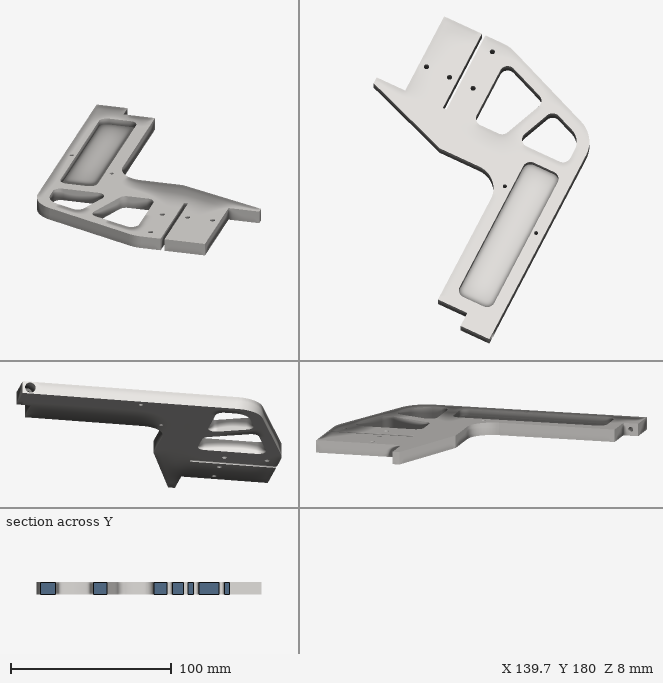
import cadquery as cq
import math

length_x = 139.7
length_y = 180.0
thickness = 8.0
wall = 8.0

arm_width = 40.3
tab_width = 20.0
tab_length = 9.5
arm_fillet = 16.0

shoulder_y = 80.0
shoulder_end_x = 83.5
underside_y = 54.9
tip_height = 4.3
foot_right_x = 119.9
slot_left_x = 91.3
slot_width = 2.5

slope_start_y = 30.2
slope_end_x = 74.5
slope = slope_start_y / slope_end_x
outer_fillet = 20.0

rib_left_x = 36.7
rib_left_y = 38.9
window_right_x = 72.7
window_fillet = 5.0
heel_fillet = outer_fillet - wall

pocket_width = 24.0
pocket_bottom_y = 62.6
pocket_top_y = 162.0
pocket_depth = thickness / 2
pocket_fillet = 5.0

pin_diameter = 2.5
pin_points = [(5.0, 103.9), (36.2, 84.6)]
screw_diameter = 3.2
screw_y = 35.0
screw_left_x = 82.6
screw_points = [(screw_left_x, 8.0), (screw_left_x, screw_y), (99.0, screw_y), (115.0, screw_y)]
cross_diameter = 3.2
cross_bore_diameter = 6.7
cross_bore_depth = tab_width / 2
cross_inset = 4.9


def prism(points):
    return cq.Workplane("XY").polyline(points).close().extrude(thickness)


def round_corner(body, point, radius):
    """Fillet the vertical edge that stands at the given point."""
    x, y = point
    reach = 0.2
    box = cq.selectors.BoxSelector(
        (x - reach, y - reach, -reach), (x + reach, y + reach, thickness + reach), boundingbox=False
    )
    return body.edges("|Z").edges(box).fillet(radius)


def make_plate():
    heel = (0, slope_start_y)
    toe = (slope_end_x, 0)
    armpit = (arm_width, shoulder_y)
    plate = prism([
        heel,
        toe,
        (foot_right_x, 0),
        (foot_right_x, underside_y),
        (length_x, underside_y),
        (length_x, underside_y + tip_height),
        (shoulder_end_x, shoulder_y),
        armpit,
        (arm_width, length_y - tab_length),
        (tab_width, length_y - tab_length),
        (tab_width, length_y),
        (0, length_y),
    ])
    for point, radius in ((heel, outer_fillet), (toe, outer_fillet), (armpit, arm_fillet)):
        plate = round_corner(plate, point, radius)
    slot = cq.Workplane("XY").box(slot_width, underside_y, thickness, centered=False)
    return plate.cut(slot.translate((slot_left_x, 0, 0)))


slant = math.hypot(1, slope)
inner_start_y = slope_start_y + wall * slant
rib_left_base_x = rib_left_x - slope * rib_left_y
rib_right_base_x = rib_left_base_x + wall * slant


def inner_edge_y(x):
    return inner_start_y - slope * x


def rib_top(base_x):
    return (base_x + slope * underside_y, underside_y)


def rib_foot(base_x):
    """Point where a rib flank meets the windows' lower edge."""
    y = (inner_start_y - slope * base_x) / (1 + slope**2)
    return (base_x + slope * y, y)


def make_window(points, radii):
    window = prism(points)
    for point, radius in zip(points, radii):
        window = round_corner(window, point, radius)
    return window


def make_left_window():
    points = [
        (wall, inner_edge_y(wall)),
        rib_foot(rib_left_base_x),
        rib_top(rib_left_base_x),
        (wall, underside_y),
    ]
    return make_window(points, [heel_fillet] + [window_fillet] * 3)


def make_right_window():
    points = [
        rib_foot(rib_right_base_x),
        (window_right_x, inner_edge_y(window_right_x)),
        (window_right_x, underside_y),
        rib_top(rib_right_base_x),
    ]
    return make_window(points, [window_fillet] * 4)


def make_pocket():
    pocket = cq.Workplane("XY").box(
        pocket_width, pocket_top_y - pocket_bottom_y, pocket_depth, centered=False
    )
    pocket = pocket.edges("|Z").fillet(pocket_fillet)
    return pocket.translate((wall, pocket_bottom_y, thickness - pocket_depth))


def make_holes(points, diameter):
    return cq.Workplane("XY").pushPoints(points).circle(diameter / 2).extrude(thickness)


def make_cross_hole():
    """Counterbored hole through the tab along X."""
    axis = cq.Workplane("YZ").center(length_y - cross_inset, thickness / 2)
    bore = axis.circle(cross_bore_diameter / 2).extrude(cross_bore_depth)
    return axis.circle(cross_diameter / 2).extrude(tab_width).union(bore)


result = (
    make_plate()
    .cut(make_left_window())
    .cut(make_right_window())
    .cut(make_pocket())
    .cut(make_holes(pin_points, pin_diameter))
    .cut(make_holes(screw_points, screw_diameter))
    .cut(make_cross_hole())
)